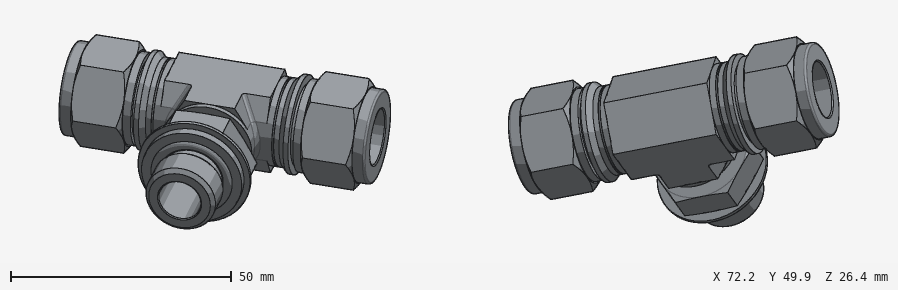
import cadquery as cq
import math


ARM_PLANE = "YZ"
BRANCH_PLANE = "XZ"

body_flats = 20.6
body_end = 12.5
crease_radius = 1.0
tolerance = 0.01

collar_end = 14.0
groove_end = 14.45
groove_diameter = 20.2
flange_cone_start = 15.75
flange_rim_start = 17.05
flange_end = 18.2
flange_diameter = 23.0
neck_diameter = 18.9
skirt_start = 19.1
skirt_diameter = 21.5
nut_start = 21.0
nut_end = 33.15
cap_end = 36.1
cap_diameter = 21.8
cap_rounding = 0.5
arm_bore = 10.4
tube_socket = 12.9
socket_depth = 15.9
socket_lead_in = 0.3

branch_collar_end = 13.7
stem_diameter = 14.5
locknut_start = 17.3
locknut_end = 24.4
washer_diameter = 26.4
washer_end = 25.3
retainer_diameter = 23.6
retainer_end = 27.2
ring_section = 2.4
ring_mean_diameter = 17.05
ring_end = 27.9
thread_cone_start = 28.95
thread_start = 30.0
thread_diameter = 16.4
branch_end = 37.1
thread_chamfer = 0.95
branch_bore = 9.9
bore_lead_in = 0.25

nut_flats = 22.25
nut_chamfer_angle = 30.0
locknut_flats = 22.0
locknut_chamfer_angle = 15.0


def cylinder(plane, start, end, diameter):
    return cq.Workplane(plane).workplane(offset=start).circle(diameter / 2).extrude(end - start)


def cone(plane, start, end, start_diameter, end_diameter):
    return (
        cq.Workplane(plane).workplane(offset=start).circle(start_diameter / 2)
        .workplane(offset=end - start).circle(end_diameter / 2)
        .loft(ruled=True)
    )


def hex_nut(plane, start, end, flats, chamfer_angle):
    """Hexagon whose corners are turned down to the flats at both ends."""
    corners = flats / math.cos(math.radians(30))
    turned_off = (corners - flats) / 2
    depth = turned_off * math.tan(math.radians(chamfer_angle))
    blank = cq.Workplane(plane).workplane(offset=start).polygon(6, corners).extrude(end - start)
    turned = (
        cone(plane, start, start + depth, flats, corners)
        .union(cylinder(plane, start + depth, end - depth, corners))
        .union(cone(plane, end - depth, end, corners, flats))
    )
    return blank.intersect(turned)


def forged_section(plane, both_corners_round):
    """Hexagon with its side corners rounded to the inscribed circle; one may stay sharp."""
    radius = body_flats / 2
    flat_half = radius / math.sqrt(3)
    tangent_x = radius * math.cos(math.radians(30))
    tangent_z = radius / 2
    outline = (
        cq.Workplane(plane)
        .moveTo(flat_half, radius)
        .lineTo(-flat_half, radius)
        .lineTo(-tangent_x, tangent_z)
        .threePointArc((-radius, 0), (-tangent_x, -tangent_z))
        .lineTo(-flat_half, -radius)
        .lineTo(flat_half, -radius)
    )
    if both_corners_round:
        outline = outline.lineTo(tangent_x, -tangent_z).threePointArc((radius, 0), (tangent_x, tangent_z))
    else:
        outline = outline.lineTo(2 * flat_half, 0)
    return outline.close()


def lies_in_miter_plane(edge):
    middle = edge.Center()
    return middle.y < 0 and abs(abs(middle.x) + middle.y) < tolerance


def forged_body():
    run = forged_section(ARM_PLANE, False).extrude(body_end, both=True)
    branch = forged_section(BRANCH_PLANE, True).extrude(body_end)
    body = run.union(branch)
    creases = body.edges().filter(lies_in_miter_plane)
    return creases.fillet(crease_radius)


def compression_end():
    cap = cylinder(ARM_PLANE, nut_end, cap_end, cap_diameter).faces(">X").edges().fillet(cap_rounding)
    sections = [
        cylinder(ARM_PLANE, collar_end, groove_end, groove_diameter),
        cylinder(ARM_PLANE, groove_end, flange_cone_start, body_flats),
        cone(ARM_PLANE, flange_cone_start, flange_rim_start, body_flats, flange_diameter),
        cylinder(ARM_PLANE, flange_rim_start, flange_end, flange_diameter),
        cylinder(ARM_PLANE, flange_end, skirt_start, neck_diameter),
        cylinder(ARM_PLANE, skirt_start, nut_start, skirt_diameter),
        hex_nut(ARM_PLANE, nut_start, nut_end, nut_flats, nut_chamfer_angle),
        cap,
    ]
    end = cylinder(ARM_PLANE, body_end, collar_end, body_flats)
    for section in sections:
        end = end.union(section)
    return end


def sealing_ring():
    """Round cord around the stem, bulging out of the retainer."""
    centre = cq.Vector(0, -(ring_end - ring_section / 2), 0)
    cord = cq.Solid.makeTorus(ring_mean_diameter / 2, ring_section / 2, centre, cq.Vector(0, -1, 0))
    return cq.Workplane(cord)


def threaded_end():
    thread = (
        cylinder(BRANCH_PLANE, thread_start, branch_end, thread_diameter)
        .faces("<Y").edges().chamfer(thread_chamfer)
    )
    sections = [
        cylinder(BRANCH_PLANE, branch_collar_end, thread_cone_start, stem_diameter),
        hex_nut(BRANCH_PLANE, locknut_start, locknut_end, locknut_flats, locknut_chamfer_angle),
        cylinder(BRANCH_PLANE, locknut_end, washer_end, washer_diameter),
        cylinder(BRANCH_PLANE, washer_end, retainer_end, retainer_diameter),
        sealing_ring(),
        cone(BRANCH_PLANE, thread_cone_start, thread_start, stem_diameter, thread_diameter),
        thread,
    ]
    end = cylinder(BRANCH_PLANE, body_end, branch_collar_end, body_flats)
    for section in sections:
        end = end.union(section)
    return end


def arm_socket():
    mouth = cone(
        ARM_PLANE, cap_end - socket_lead_in, cap_end, tube_socket, tube_socket + 2 * socket_lead_in
    )
    return cylinder(ARM_PLANE, cap_end - socket_depth, cap_end, tube_socket).union(mouth)


def branch_hollow():
    bore_mouth = cone(
        BRANCH_PLANE, branch_end - bore_lead_in, branch_end, branch_bore, branch_bore + 2 * bore_lead_in
    )
    return cylinder(BRANCH_PLANE, 0, branch_end, branch_bore).union(bore_mouth)


arm = compression_end()
socket = arm_socket()
run_bore = cylinder(ARM_PLANE, -cap_end, cap_end, arm_bore)
result = (
    forged_body()
    .union(arm)
    .union(arm.mirror("YZ"))
    .union(threaded_end())
    .cut(run_bore)
    .cut(socket)
    .cut(socket.mirror("YZ"))
    .cut(branch_hollow())
)